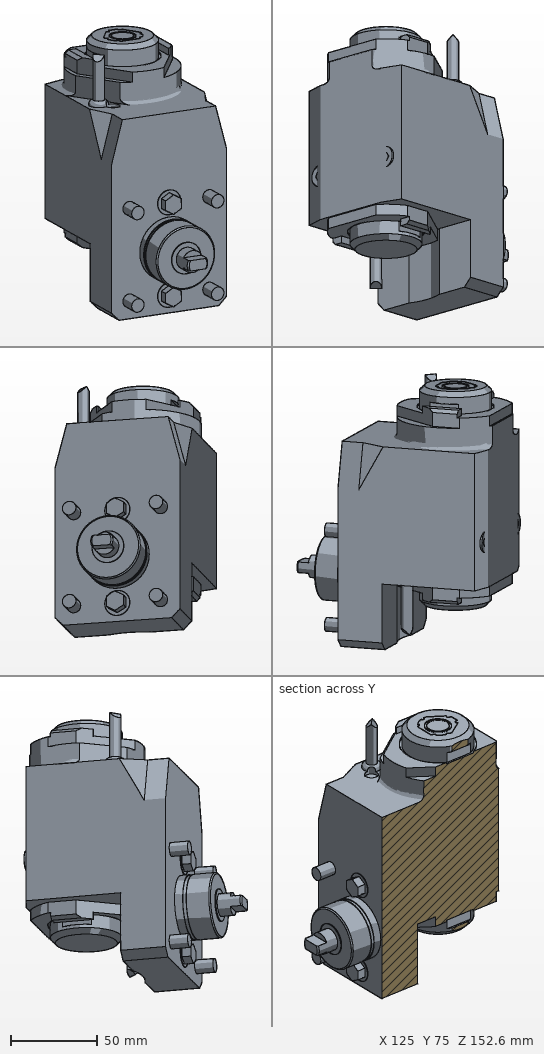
import cadquery as cq
import math


body_left = -29.25
body_right = 58.9
body_width = 75.0
half_width = body_width / 2
body_bottom = 0.8
body_top = 82.1
side_chamfer_x = 3.8
side_chamfer_y = 13.0

leg_left = 31.7
leg_bottom = -39.06
leg_chamfer = 5.0

slope_tip_x = 31.0
slope_start_x = 46.0
slope_top_y = 30.4
slope_low_z = 55.6

collar_radius = 34.0
foot_radius = 3.0
collar_step_z = 95.0
collar_top_z = 101.1
plate_bottom_z = -5.6
ring_left = -28.1
ring_flat_y = 31.0
cut_angle = 35.0
ring_cut_distance = 27.0
foot_cut_distance = 30.7

spindle_radius = 20.95
face_radius = 18.0
neck_flat_y = 19.0
neck_height = 5.4
gap_radius = 22.4
gap_depth = 1.0
upper_length = 12.4
upper_bevel = 2.9
lower_length = 10.5
lower_bevel = 3.1

socket_depth = 0.3
socket_radius = 11.8
socket_flat = 10.3
flat_angles = (0, 124, -124)
notch_radius = 1.1
notch_angles = (80, 40, -40, -80, 160, -160)
key_slot_reach = 12.35
key_slot_width = 5.6
seat_outer_radius = 7.9
seat_inner_radius = 6.6
seat_depth = 0.6

key_left = -12.4
key_right = 11.3
key_inner_y = 24.0
key_height = 4.1
key_chamfer = 2.0

pin_radius = 3.4
upper_pin = (25.9, -28.9)
upper_pin_top = 112.5
lower_pin = (19.9, 27.6)
lower_pin_bottom = -29.7
upper_ridge_angle = 45.0
lower_ridge_angle = -45.0
dome_radius = 5.8
dome_height = 3.2
dome_bulge = (5.4, 1.9)

hole_centre = (31.5, -22.4)
hole_radius = 4.0
hole_depth = 2.0

screw_y = 26.0
screw_z = 28.0
screw_radius = 4.05
screw_end = 70.0
head_radius = 6.5
head_face_x = -28.2
head_embed = 4.0
hex_socket_flats = 6.0

nut_flats = 10.3
nut_end = 64.6
washer_radius = 7.5
washer_thickness = 0.4

flange_radius = 19.1
flange_end = 80.4
flange_chamfer = 0.8
groove_start = 63.8
groove_end = 65.9
groove_depth = 0.4
hub_radius = 9.5
hub_end = 81.0
shaft_radius = 6.65
shaft_shoulder = 88.7
shaft_end = 95.75
shaft_chamfer = 0.9
tang_thickness = 6.3


def box(x0, x1, y0, y1, z0, z1):
    """Box between two opposite corners."""
    return cq.Workplane("XY").box(x1 - x0, y1 - y0, z1 - z0, centered=False).translate((x0, y0, z0))


def disc(radius, z0, z1, centre=(0, 0)):
    """Cylinder parallel to Z."""
    return cq.Workplane("XY", origin=(*centre, z0)).circle(radius).extrude(z1 - z0)


def rod(radius, x0, x1, y=0, z=0):
    """Cylinder parallel to X."""
    return cq.Workplane("YZ", origin=(x0, y, z)).circle(radius).extrude(x1 - x0)


def hex_rod(flats, x0, x1, y, z):
    """Hexagonal bar parallel to X."""
    corners = flats / math.cos(math.radians(30))
    return cq.Workplane("YZ", origin=(x0, y, z)).polygon(6, corners).extrude(x1 - x0)


def solid_from_faces(faces):
    """Solid bounded by flat polygons, each given by its corner points."""
    sides = [
        cq.Face.makeFromWires(cq.Wire.makePolygon([cq.Vector(*p) for p in face], close=True))
        for face in faces
    ]
    return cq.Workplane(cq.Solid.makeSolid(cq.Shell.makeShell(sides)))


def beyond_diagonal(distance, side, z0, z1):
    """Block beyond a vertical plane facing +X and the given Y side, at a distance from the spindle axis."""
    reach = 2 * body_width
    block = box(distance, distance + reach, -reach, reach, z0, z1)
    return block.rotate((0, 0, 0), (0, 0, 1), side * (90 - cut_angle))


def slope_cut(side):
    """Wedge removed from one upper corner of the drive end."""
    tip = (slope_tip_x, side * half_width, body_top)
    near_top = (slope_start_x, side * slope_top_y, body_top)
    near_low = (slope_start_x, side * half_width, slope_low_z)
    far_top = (body_right, side * slope_top_y, body_top)
    far_low = (body_right, side * half_width, slope_low_z)
    far_corner = (body_right, side * half_width, body_top)
    return solid_from_faces([
        (tip, near_top, near_low),
        (near_top, far_top, far_low, near_low),
        (tip, near_low, far_low, far_corner),
        (tip, far_corner, far_top, near_top),
        (far_top, far_corner, far_low),
    ])


def make_housing():
    """Block with bevelled left corners and a leg at the drive end."""
    flat_y = half_width - side_chamfer_y
    bevel_x = body_left + side_chamfer_x
    block = (
        cq.Workplane("XY", origin=(0, 0, body_bottom))
        .polyline([
            (body_left, -flat_y),
            (bevel_x, -half_width),
            (body_right, -half_width),
            (body_right, half_width),
            (bevel_x, half_width),
            (body_left, flat_y),
        ])
        .close()
        .extrude(body_top - body_bottom)
    )
    leg = box(leg_left, body_right, -half_width, half_width, leg_bottom, body_bottom)
    leg = leg.faces("<Z").edges("|X").chamfer(leg_chamfer)
    leg = leg.cut(disc(collar_radius, leg_bottom, body_bottom))
    housing = block.union(leg)
    for side in (-1, 1):
        housing = housing.cut(slope_cut(side))
    return housing


def make_foot_collar():
    """Round collar with a filleted foot, cut flush with the housing and along one diagonal."""
    foot_top = body_top + foot_radius
    arc_offset = foot_radius * (1 - math.sqrt(0.5))
    collar = (
        cq.Workplane("XZ")
        .moveTo(0, body_top)
        .lineTo(collar_radius + foot_radius, body_top)
        .threePointArc(
            (collar_radius + arc_offset, body_top + arc_offset),
            (collar_radius, foot_top),
        )
        .lineTo(collar_radius, collar_step_z)
        .lineTo(0, collar_step_z)
        .close()
        .revolve(360, (0, 0, 0), (0, 1, 0))
    )
    collar = collar.intersect(box(body_left, body_right, -half_width, half_width, body_top, collar_step_z))
    return collar.cut(beyond_diagonal(foot_cut_distance, -1, body_top, collar_step_z))


def make_key(side, z0, z1, outer_face):
    """Driving key with its outer long edge chamfered."""
    y0, y1 = sorted((side * key_inner_y, side * ring_flat_y))
    key = box(key_left, key_right, y0, y1, z0, z1)
    long_edge = ">Y" if side > 0 else "<Y"
    return key.faces(outer_face).edges(long_edge).chamfer(key_chamfer)


def make_keyed_ring(z0, z1, end):
    """Flatted ring with two keys standing on its upper (end=1) or lower (end=-1) face."""
    ring = disc(collar_radius, z0, z1)
    ring = ring.intersect(box(ring_left, collar_radius, -ring_flat_y, ring_flat_y, z0, z1))
    if end > 0:
        key_z = (z0, z1 + key_height)
        outer_face = ">Z"
    else:
        key_z = (z0 - key_height, z1)
        outer_face = "<Z"
    for side in (-1, 1):
        ring = ring.union(make_key(side, *key_z, outer_face))
    for side in (-1, 1):
        ring = ring.cut(beyond_diagonal(ring_cut_distance, side, *key_z))
    return ring


def make_spindle(length, bevel):
    """Spindle end standing on Z=0: round head with a bevelled rim and two flats on its neck."""
    spindle = (
        cq.Workplane("XZ")
        .polyline([
            (0, -gap_depth),
            (spindle_radius, -gap_depth),
            (spindle_radius, length - bevel),
            (face_radius, length),
            (0, length),
        ])
        .close()
        .revolve(360, (0, 0, 0), (0, 1, 0))
    )
    for y0, y1 in ((neck_flat_y, spindle_radius), (-spindle_radius, -neck_flat_y)):
        spindle = spindle.cut(box(-spindle_radius, spindle_radius, y0, y1, -gap_depth, neck_height))
    return spindle


def make_socket(z_top):
    """Shallow splined recess around a central seat."""
    z0 = z_top - socket_depth
    socket = disc(socket_radius, z0, z_top)
    for angle in flat_angles:
        trim = box(socket_flat, 2 * socket_radius, -socket_radius, socket_radius, z0, z_top)
        socket = socket.cut(trim.rotate((0, 0, 0), (0, 0, 1), angle))
    for angle in notch_angles:
        turn = math.radians(angle)
        centre = (socket_radius * math.cos(turn), socket_radius * math.sin(turn))
        socket = socket.cut(disc(notch_radius, z0, z_top, centre))
    socket = socket.union(box(-key_slot_reach, 0, -key_slot_width / 2, key_slot_width / 2, z0, z_top))
    seat = disc(seat_outer_radius, z0 - seat_depth, z_top).cut(disc(seat_inner_radius, z0 - seat_depth, z0))
    return socket.union(seat)


def make_pin(z_root, z_tip, centre, ridge_angle):
    """Pin whose tip is a roof with a 90 degree ridge."""
    length = abs(z_tip - z_root)
    roof = (
        cq.Workplane("XZ")
        .polyline([
            (-pin_radius, 0),
            (pin_radius, 0),
            (pin_radius, length - pin_radius),
            (0, length),
            (-pin_radius, length - pin_radius),
        ])
        .close()
        .extrude(pin_radius, both=True)
        .rotate((0, 0, 0), (0, 0, 1), ridge_angle - 90)
    )
    pin = disc(pin_radius, 0, length).intersect(roof)
    if z_tip < z_root:
        pin = pin.mirror("XY")
    return pin.translate((*centre, z_root))


def make_pin_dome():
    """Rounded boss at the foot of the upper pin."""
    return (
        cq.Workplane("XZ")
        .moveTo(0, 0)
        .lineTo(dome_radius, 0)
        .threePointArc(dome_bulge, (pin_radius, dome_height))
        .lineTo(0, dome_height)
        .close()
        .revolve(360, (0, 0, 0), (0, 1, 0))
        .translate((*upper_pin, body_top))
    )


def make_screws():
    """Four screw ends on the drive face and the two head rims on the left bevels."""
    parts = []
    for y in (-screw_y, screw_y):
        head = rod(head_radius, head_face_x, head_face_x + head_embed, y, screw_z)
        parts.append(head.cut(hex_rod(hex_socket_flats, head_face_x, head_face_x + head_embed, y, screw_z)))
        for z in (-screw_z, screw_z):
            parts.append(rod(screw_radius, body_right, screw_end, y, z))
    return parts


def make_nuts():
    """Hexagon nuts on washers above and below the drive flange."""
    parts = []
    for z in (-screw_z, screw_z):
        parts.append(rod(washer_radius, body_right, body_right + washer_thickness, 0, z))
        nut = hex_rod(nut_flats, body_right, nut_end, 0, z)
        parts.append(nut.rotate((0, 0, z), (1, 0, z), 90))
    return parts


def make_drive():
    """Grooved flange, hub and flatted shaft on the X axis."""
    flange = rod(flange_radius, body_right, flange_end).faces(">X").chamfer(flange_chamfer)
    groove = rod(flange_radius, groove_start, groove_end)
    groove = groove.cut(rod(flange_radius - groove_depth, groove_start, groove_end))
    shaft = rod(shaft_radius, body_right, shaft_end).faces(">X").chamfer(shaft_chamfer)
    for z0, z1 in ((tang_thickness / 2, shaft_radius), (-shaft_radius, -tang_thickness / 2)):
        shaft = shaft.cut(box(shaft_shoulder, shaft_end, -shaft_radius, shaft_radius, z0, z1))
    return flange.cut(groove).union(rod(hub_radius, body_right, hub_end)).union(shaft)


result = make_housing()
result = result.union(make_foot_collar())
result = result.union(make_keyed_ring(collar_step_z, collar_top_z, 1))
result = result.union(make_keyed_ring(plate_bottom_z, body_bottom, -1))

result = result.cut(disc(gap_radius, collar_top_z - gap_depth, collar_top_z))
result = result.cut(disc(gap_radius, plate_bottom_z, plate_bottom_z + gap_depth))
result = result.union(make_spindle(upper_length, upper_bevel).translate((0, 0, collar_top_z)))
result = result.union(make_spindle(lower_length, lower_bevel).mirror("XY").translate((0, 0, plate_bottom_z)))
result = result.cut(make_socket(collar_top_z + upper_length))

result = result.union(make_pin_dome())
result = result.cut(disc(hole_radius, body_top - hole_depth, body_top + dome_height, hole_centre))
result = result.union(make_pin(body_top, upper_pin_top, upper_pin, upper_ridge_angle))
result = result.union(make_pin(body_bottom, lower_pin_bottom, lower_pin, lower_ridge_angle))
for part in make_screws() + make_nuts() + [make_drive()]:
    result = result.union(part)